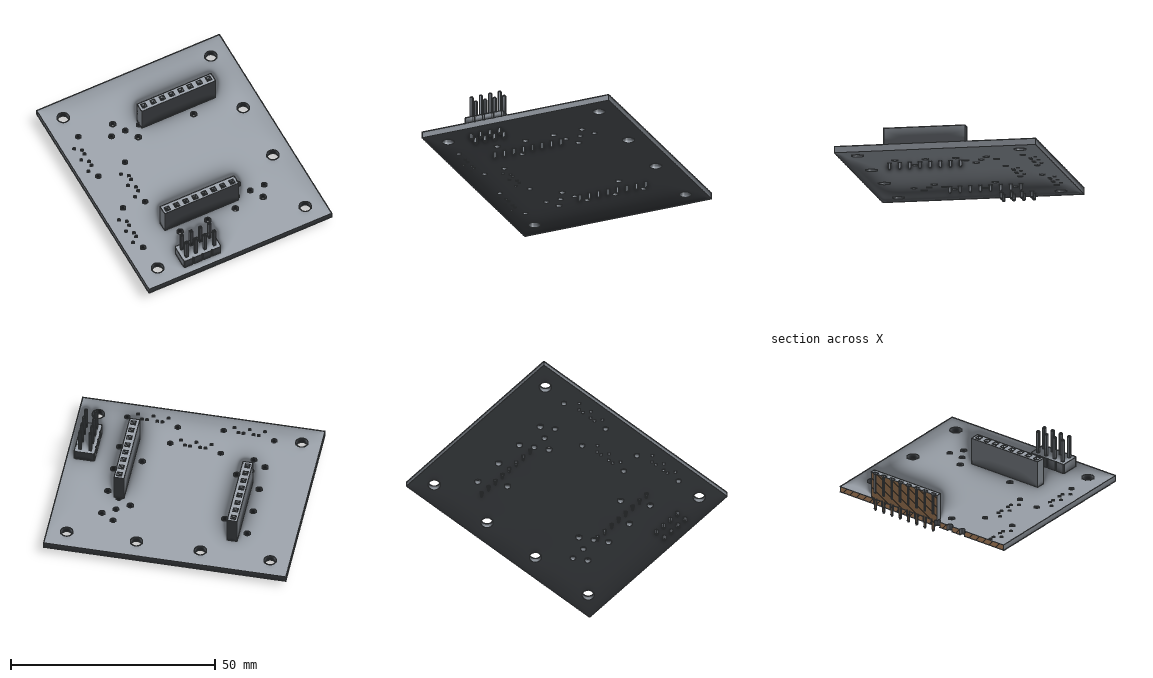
import cadquery as cq
import math

board_length = 60.45
board_width = 50.3
board_thickness = 1.6

mount_diameter = 3
mount_margin = 4.85
mount_x = board_length / 2 - mount_margin
mount_y = board_width / 2 - mount_margin
mount_inner_x = 8.0

socket_x = 15.0
left_socket_y = 5.5
right_socket_y = -3.5

pattern_center_y = (left_socket_y + right_socket_y) / 2
row_pitch = 3.8
outer_column_x = 18.15
inner_column_x = 11.8
zigzag_diameter = 1.6
socket_column_diameter = 1.4

group_spacing = 12.0
group_side_y = -20.7
group_middle_y = -13.95
small_diameter = 0.7
small_upper_offsets = (1.25, 2.55)
small_lower_pitch = 3.8
small_lower_drop = 1.5
locating_diameter = 1.3
locating_left_x = -6.6
locating_left_rise = 1.0
locating_right_x = 6.2

pin_pitch = 2.55
pin_hole_diameter = 0.9
pin_width = pin_hole_diameter / math.sqrt(2)
pin_drop = 1.6
pin_bottom_z = -pin_drop

socket_pins = 8
socket_width = 2.5
socket_height = 7.1
socket_length = socket_pins * pin_pitch
blade_thickness = 0.25
blade_tip_height = 0.35
blade_tip_width = 0.25
blade_offset = 0.1
cavity_mouth = 1.2
cavity_throat = 0.4
cavity_lead_in = 0.35
cavity_depth = 5.45

header_rows = 4
header_columns = 2
header_x = 25.8
header_y = -9.4
header_height = 2.55
header_chamfer = 0.25
header_pin_height = 8.5
header_tip_height = 0.25
header_tip_width = 0.3


def centered(count, pitch):
    """Evenly spaced positions about zero."""
    return [(i - (count - 1) / 2) * pitch for i in range(count)]


def half_turn(points):
    """The points turned half a turn about the origin."""
    return [(-x, -y) for x, y in points]


socket_pin_points = [(-blade_offset, y) for y in centered(socket_pins, pin_pitch)]
header_pin_points = [
    (x, y)
    for x in centered(header_columns, pin_pitch)
    for y in centered(header_rows, pin_pitch)
]


def drill(body, points, diameter, center=(0, 0)):
    """Cut round through holes at points measured from center."""
    holes = (
        cq.Workplane("XY")
        .pushPoints([(center[0] + x, center[1] + y) for x, y in points])
        .circle(diameter / 2)
        .extrude(board_thickness)
    )
    return body.cut(holes)


def drill_mounting_holes(board):
    top_row = [(x, mount_y) for x in (-mount_x, -mount_inner_x, mount_inner_x, mount_x)]
    bottom_row = [(x, -mount_y) for x in (-mount_x, mount_x)]
    return drill(board, top_row + bottom_row, mount_diameter)


def drill_socket_pattern(board):
    center = (0, pattern_center_y)
    zigzag = []
    for side in (-1, 1):
        zigzag += [(side * outer_column_x, y) for y in centered(4, 2 * row_pitch)]
        zigzag += [(side * inner_column_x, y) for y in centered(2, 4 * row_pitch)]
    board = drill(board, zigzag, zigzag_diameter, center)
    right_column = [(socket_x, rows * row_pitch) for rows in (1.5, 2.5, 3.5)]
    columns = right_column + half_turn(right_column)
    return drill(board, columns, socket_column_diameter, center)


def drill_hole_group(board, center):
    upper = [(side * x, 0) for side in (-1, 1) for x in small_upper_offsets]
    lower = [(x, -small_lower_drop) for x in centered(3, small_lower_pitch)]
    locating = [(locating_left_x, locating_left_rise), (locating_right_x, 0)]
    board = drill(board, upper + lower, small_diameter, center)
    return drill(board, locating, locating_diameter, center)


def drill_pin_holes(board):
    left_center = (-socket_x, left_socket_y)
    right_center = (socket_x, right_socket_y)
    board = drill(board, socket_pin_points, pin_hole_diameter, left_center)
    board = drill(board, half_turn(socket_pin_points), pin_hole_diameter, right_center)
    return drill(board, header_pin_points, pin_hole_diameter, (header_x, header_y))


def make_board():
    board = cq.Workplane("XY").box(
        board_length, board_width, board_thickness, centered=(True, True, False)
    )
    board = drill_mounting_holes(board)
    board = drill_socket_pattern(board)
    for center in (
        (-group_spacing, group_side_y),
        (0, group_middle_y),
        (group_spacing, group_side_y),
    ):
        board = drill_hole_group(board, center)
    return drill_pin_holes(board)


def make_socket():
    """Socket strip about the origin, with a flat pin and a cavity at each place.

    The cavity mouth is in line with the pin and leads in to a throat on the centerline.
    """
    top_z = board_thickness + socket_height
    socket = (
        cq.Workplane("XY", origin=(0, 0, board_thickness))
        .rect(socket_width, socket_length)
        .extrude(socket_height)
    )
    blade_shoulder_z = pin_bottom_z + blade_tip_height
    for x, y in socket_pin_points:
        lead_in = (
            cq.Workplane("XY", origin=(x, y, top_z))
            .rect(cavity_mouth, cavity_mouth)
            .workplane(offset=-cavity_lead_in)
            .center(-x, 0)
            .rect(cavity_throat, cavity_throat)
            .loft()
        )
        shaft = (
            cq.Workplane("XY", origin=(0, y, top_z - cavity_depth))
            .rect(cavity_throat, cavity_throat)
            .extrude(cavity_depth)
        )
        blade = (
            cq.Workplane("YZ", origin=(x - blade_thickness / 2, y, 0))
            .moveTo(-pin_width / 2, board_thickness)
            .lineTo(-pin_width / 2, blade_shoulder_z)
            .lineTo(-blade_tip_width / 2, pin_bottom_z)
            .lineTo(blade_tip_width / 2, pin_bottom_z)
            .lineTo(pin_width / 2, blade_shoulder_z)
            .lineTo(pin_width / 2, board_thickness)
            .close()
            .extrude(blade_thickness)
        )
        socket = socket.cut(lead_in).cut(shaft).union(blade)
    return socket


def make_header_pin(x, y):
    """Square pin with a blunt pyramid at both ends."""
    length = pin_drop + board_thickness + header_pin_height
    tip_inset = (pin_width - header_tip_width) / 2
    return (
        cq.Workplane("XY", origin=(x, y, pin_bottom_z))
        .rect(pin_width, pin_width)
        .extrude(length)
        .faces("<Z or >Z")
        .chamfer(header_tip_height, tip_inset)
    )


def make_header():
    """Pin header about the origin, with a chamfered block for each pair of pins."""
    header_width = header_columns * pin_pitch
    base = cq.Workplane("XY")
    for y in centered(header_rows, pin_pitch):
        block = (
            cq.Workplane("XY", origin=(0, y, board_thickness))
            .rect(header_width, pin_pitch)
            .extrude(header_height)
            .edges("|Z")
            .chamfer(header_chamfer)
        )
        base = base.union(block)
    for x, y in header_pin_points:
        base = base.union(make_header_pin(x, y))
    return base


board = make_board()
socket = make_socket()
left_socket = socket.translate((-socket_x, left_socket_y, 0))
right_socket = socket.rotate((0, 0, 0), (0, 0, 1), 180).translate(
    (socket_x, right_socket_y, 0)
)
header = make_header().translate((header_x, header_y, 0))

result = cq.Compound.makeCompound(
    [board.val(), left_socket.val(), right_socket.val(), header.val()]
)